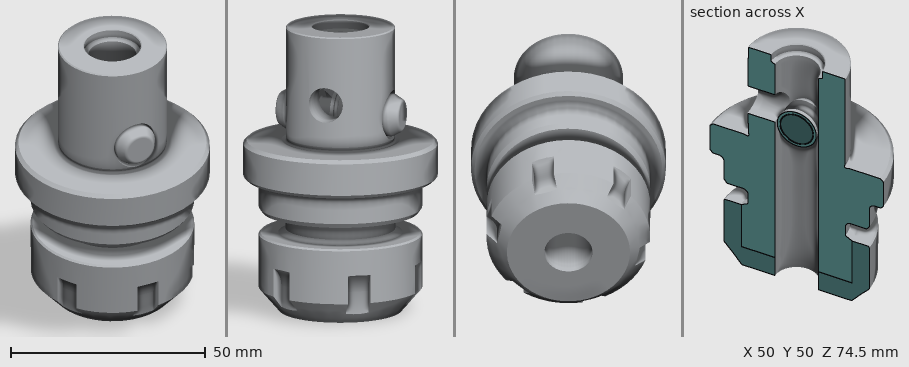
import cadquery as cq
import math


total_height = 74.5
spigot_bottom = 6.0
thread_top = 20.4
neck_bottom = 21.45
collar_bottom = 25.9
flange_bottom = 34.6
flange_top = 44.6

shank_radius = 14.0
flange_radius = 50.0 / 2
collar_radius = 21.0
neck_radius = 14.1
thread_radius = 15.95

shank_chamfer = 0.3
flange_chamfer = 0.9
collar_chamfer_width = 0.9
collar_chamfer_height = 1.2
step_fillet = 1.4

undercut_top = 45.6
undercut_depth = 0.2
undercut_arc_top = 44.85
undercut_floor = 44.4
undercut_floor_radius = 14.4
undercut_outer_radius = 15.2

bore_radius = 6.2
counterbore_radius = 7.3
counterbore_depth = 2.3
counterbore_taper = 0.6
mouth_chamfer = 0.2

pin_height = 52.0
pin_radius = 5.5
countersink_radius = 6.5
taper_angle = math.radians(30)

side_hole_height = 56.6
side_hole_radius = 4.55

nut_radius = 21.0
nut_face_radius = 15.8
nut_cone_height = 6.0
nut_top_chamfer = 0.45

slot_count = 6
slot_width = 5.95
slot_top = 13.5
slot_arc_bottom = 8.65
slot_floor_radius = 18.1

pin_length = 33.0
pin_offset = -0.2
pin_taper_length = 2.6
pin_edge_fillet = 0.9
waist_start = 1.3
waist_end = 5.2
waist_radius = 3.4
waist_fillet = 0.45

ring_cord_radius = 0.5
ring_protrusion = 0.2
groove_width = 1.2
ring_centre_radius = pin_radius + ring_protrusion - ring_cord_radius
groove_floor_radius = ring_centre_radius - ring_cord_radius


def revolve_about_z(profile):
    """Revolve a closed (radius, z) profile in the XZ plane about the Z axis."""
    return profile.close().revolve(360, (0, 0, 0), (0, 1, 0))


def revolve_about_x(profile):
    """Revolve a closed (x, radius) profile in the XY plane about the X axis."""
    return profile.close().revolve(360, (0, 0, 0), (1, 0, 0))


def holder_blank():
    """Turned outside of the holder: spigot, neck, collar, flange and shank."""
    undercut_radius = shank_radius - undercut_depth
    fillet_dip = step_fillet * (1 - math.sqrt(0.5))
    profile = (
        cq.Workplane("XZ")
        .moveTo(0, spigot_bottom)
        .lineTo(thread_radius, spigot_bottom)
        .lineTo(thread_radius, thread_top)
        .lineTo(neck_radius, neck_bottom)
        .lineTo(neck_radius, collar_bottom - step_fillet)
        .threePointArc(
            (neck_radius + fillet_dip, collar_bottom - fillet_dip),
            (neck_radius + step_fillet, collar_bottom),
        )
        .lineTo(collar_radius - collar_chamfer_width, collar_bottom)
        .lineTo(collar_radius, collar_bottom + collar_chamfer_height)
        .lineTo(collar_radius, flange_bottom - step_fillet)
        .threePointArc(
            (collar_radius + fillet_dip, flange_bottom - fillet_dip),
            (collar_radius + step_fillet, flange_bottom),
        )
        .lineTo(flange_radius - flange_chamfer, flange_bottom)
        .lineTo(flange_radius, flange_bottom + flange_chamfer)
        .lineTo(flange_radius, flange_top - flange_chamfer)
        .lineTo(flange_radius - flange_chamfer, flange_top)
        .lineTo(undercut_outer_radius, flange_top)
        .lineTo(undercut_floor_radius, undercut_floor)
        .tangentArcPoint((undercut_radius, undercut_arc_top), relative=False)
        .lineTo(shank_radius, undercut_top)
        .lineTo(shank_radius, total_height - shank_chamfer)
        .lineTo(shank_radius - shank_chamfer, total_height)
        .lineTo(0, total_height)
    )
    return revolve_about_z(profile)


def central_bore():
    """Through bore with a counterbore, its conical seat and a chamfered mouth."""
    seat_top = total_height - counterbore_depth
    profile = (
        cq.Workplane("XZ")
        .lineTo(bore_radius, 0)
        .lineTo(bore_radius, seat_top - counterbore_taper)
        .lineTo(counterbore_radius, seat_top)
        .lineTo(counterbore_radius, total_height - mouth_chamfer)
        .lineTo(counterbore_radius + mouth_chamfer, total_height)
        .lineTo(0, total_height)
    )
    return revolve_about_z(profile)


def pin_hole():
    """Cross hole along X whose ends widen into cones at the shank surface."""
    cone_start = shank_radius - (countersink_radius - pin_radius) / math.tan(taper_angle)
    profile = (
        cq.Workplane("XY")
        .moveTo(-shank_radius, 0)
        .lineTo(-shank_radius, countersink_radius)
        .lineTo(-cone_start, pin_radius)
        .lineTo(cone_start, pin_radius)
        .lineTo(shank_radius, countersink_radius)
        .lineTo(shank_radius, 0)
    )
    return revolve_about_x(profile).translate((0, 0, pin_height))


def side_hole():
    """Radial hole from the +Y side of the shank into the bore."""
    plane = cq.Plane(origin=(0, 0, side_hole_height), xDir=(1, 0, 0), normal=(0, 1, 0))
    return cq.Workplane(plane).circle(side_hole_radius).extrude(shank_radius)


def make_holder():
    return holder_blank().cut(central_bore()).cut(pin_hole()).cut(side_hole())


def nut_slot():
    """Spanner slot on +X: vertical floor that curves outwards at the top."""
    rise = slot_top - slot_arc_bottom
    run = nut_radius - slot_floor_radius
    outside = nut_radius + run
    return (
        cq.Workplane("XZ", origin=(0, slot_width / 2, 0))
        .moveTo(slot_floor_radius, 0)
        .lineTo(slot_floor_radius, slot_arc_bottom)
        .tangentArcPoint((run, rise))
        .lineTo(outside, slot_top)
        .lineTo(outside, 0)
        .close()
        .extrude(slot_width)
    )


def make_nut():
    """Nut around the holder spigot, with a floor below it that the bore runs through."""
    profile = (
        cq.Workplane("XZ")
        .moveTo(bore_radius, 0)
        .lineTo(nut_face_radius, 0)
        .lineTo(nut_radius, nut_cone_height)
        .lineTo(nut_radius, thread_top - nut_top_chamfer)
        .lineTo(nut_radius - nut_top_chamfer, thread_top)
        .lineTo(thread_radius, thread_top)
        .lineTo(thread_radius, spigot_bottom)
        .lineTo(bore_radius, spigot_bottom)
    )
    nut = revolve_about_z(profile)
    slot = nut_slot()
    for index in range(slot_count):
        nut = nut.cut(slot.rotate((0, 0, 0), (0, 0, 1), index * 360 / slot_count))
    return nut


def pin_blank():
    """Round pin with tapered ends and rounded edges."""
    half = pin_length / 2
    end_radius = pin_radius - pin_taper_length * math.tan(taper_angle)
    profile = (
        cq.Workplane("XY")
        .moveTo(-half, 0)
        .lineTo(-half, end_radius)
        .lineTo(-half + pin_taper_length, pin_radius)
        .lineTo(half - pin_taper_length, pin_radius)
        .lineTo(half, end_radius)
        .lineTo(half, 0)
    )
    blank = revolve_about_x(profile).translate((pin_offset, 0, pin_height))
    return blank.edges("%CIRCLE").fillet(pin_edge_fillet)


def pin_waist():
    """Ring of material removed for the waist, rounded where the waist meets its walls."""
    outside = pin_radius + waist_fillet
    profile = (
        cq.Workplane("XY")
        .moveTo(waist_start, outside)
        .lineTo(waist_start, waist_radius + waist_fillet)
        .tangentArcPoint((waist_start + waist_fillet, waist_radius), relative=False)
        .lineTo(waist_end - waist_fillet, waist_radius)
        .tangentArcPoint((waist_fillet, waist_fillet))
        .lineTo(waist_end, outside)
    )
    return revolve_about_x(profile).translate((0, 0, pin_height))


def ring_groove():
    """Rectangular groove around the middle of the pin."""
    plane = cq.Plane(origin=(pin_offset, 0, pin_height), xDir=(0, 1, 0), normal=(1, 0, 0))
    return (
        cq.Workplane(plane)
        .circle(pin_radius + ring_cord_radius)
        .circle(groove_floor_radius)
        .extrude(groove_width / 2, both=True)
    )


def make_pin():
    return pin_blank().cut(pin_waist()).cut(ring_groove())


def make_sealing_ring():
    centre = cq.Vector(pin_offset, 0, pin_height)
    return cq.Solid.makeTorus(ring_centre_radius, ring_cord_radius, centre, cq.Vector(1, 0, 0))


holder = make_holder()
nut = make_nut()
pin = make_pin()
sealing_ring = make_sealing_ring()

result = cq.Compound.makeCompound([holder.val(), nut.val(), pin.val(), sealing_ring])